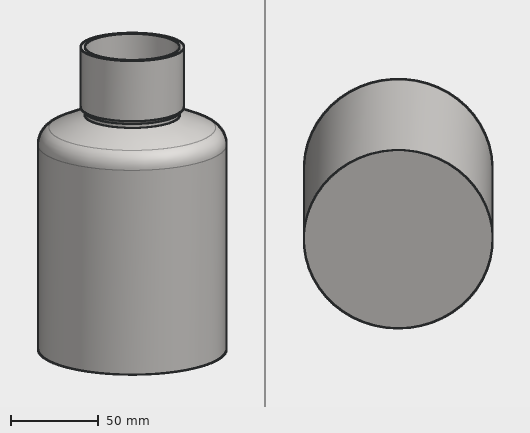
import cadquery as cq
import math

total_height = 179.0
body_radius = 107.8 / 2
body_height = 121.2
corner_radius = 11.1
corner_top = 131.2
shoulder_top = 138.7
neck_radius = 27.2
collar_radius = 59 / 2
collar_bottom = 143.4
bore_radius = 54.0 / 2
bore_depth = 34.4

corner_center_radius = body_radius - corner_radius
corner_rise = corner_top - body_height
corner_top_radius = corner_center_radius + math.sqrt(corner_radius**2 - corner_rise**2)
collar_chamfer = collar_radius - neck_radius
bore_floor = total_height - bore_depth


def make_bottle():
    """Revolve the outer outline: body, corner, domed shoulder, neck and collar."""
    outline = (
        cq.Workplane("XZ")
        .lineTo(body_radius, 0)
        .lineTo(body_radius, body_height)
        .tangentArcPoint((corner_top_radius, corner_top), relative=False)
        .tangentArcPoint((neck_radius, shoulder_top), relative=False)
        .lineTo(neck_radius, collar_bottom - collar_chamfer)
        .lineTo(collar_radius, collar_bottom)
        .lineTo(collar_radius, total_height)
        .lineTo(0, total_height)
        .close()
    )
    return outline.revolve(360, (0, 0, 0), (0, 1, 0))


def make_bore():
    """Flat-bottomed blind bore in the mouth."""
    return cq.Workplane("XY").workplane(offset=bore_floor).circle(bore_radius).extrude(bore_depth)


result = make_bottle().cut(make_bore())